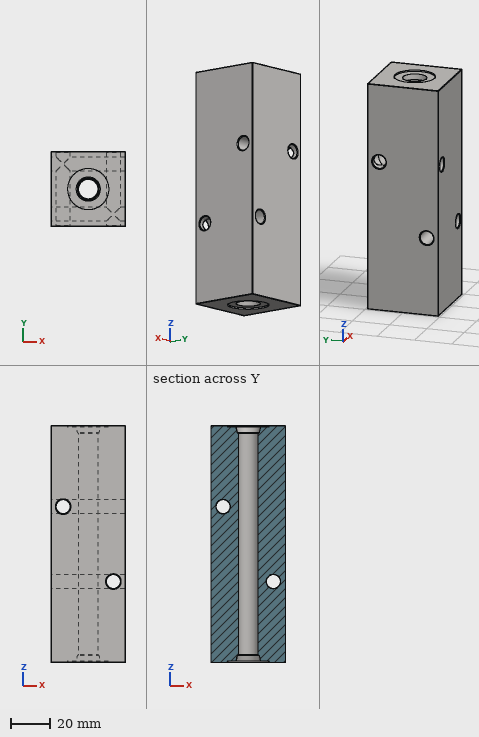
import cadquery as cq

HEIGHT = 120.6
WIDTH = 38.1
EDGE_CHAMFER = 0.25

SPOTFACE_DIAMETER = 21.0
SPOTFACE_DEPTH = 0.7
PORT_MOUTH_DIAMETER = 12.3
PORT_FLOOR_DIAMETER = 11.1
PORT_DEPTH = 2.8
BORE_DIAMETER = 9.9

HOLE_DIAMETER = 7.1
HOLE_RIM_DIAMETER = 8.0
HOLE_EDGE_DISTANCE = 6.3
HOLE_SPACING = 38.1

HALF_WIDTH = WIDTH / 2
HALF_HEIGHT = HEIGHT / 2
LEAD_IN_DEPTH = (PORT_FLOOR_DIAMETER - BORE_DIAMETER) / 2
HOLE_OFFSET = HALF_WIDTH - HOLE_EDGE_DISTANCE
HOLE_LEVEL = HOLE_SPACING / 2
RIM_DEPTH = (HOLE_RIM_DIAMETER - HOLE_DIAMETER) / 2


def stepped_bore():
    """Through bore with a spotface, tapered port and 45 degree lead-in at both ends."""
    port_top = HALF_HEIGHT - SPOTFACE_DEPTH
    port_floor = port_top - PORT_DEPTH
    bore_top = port_floor - LEAD_IN_DEPTH
    upper_half = [
        (SPOTFACE_DIAMETER / 2, HALF_HEIGHT),
        (SPOTFACE_DIAMETER / 2, port_top),
        (PORT_MOUTH_DIAMETER / 2, port_top),
        (PORT_FLOOR_DIAMETER / 2, port_floor),
        (BORE_DIAMETER / 2, bore_top),
    ]
    lower_half = [(radius, -z) for radius, z in reversed(upper_half)]
    outline = [(0, HALF_HEIGHT)] + upper_half + lower_half + [(0, -HALF_HEIGHT)]
    return cq.Workplane("XZ").polyline(outline).close().revolve(360, (0, 0), (0, 1))


def cross_hole():
    """Hole along Y through the block, with a 45 degree chamfer at each mouth."""
    outline = [
        (0, -HALF_WIDTH),
        (HOLE_RIM_DIAMETER / 2, -HALF_WIDTH),
        (HOLE_DIAMETER / 2, -HALF_WIDTH + RIM_DEPTH),
        (HOLE_DIAMETER / 2, HALF_WIDTH - RIM_DEPTH),
        (HOLE_RIM_DIAMETER / 2, HALF_WIDTH),
        (0, HALF_WIDTH),
    ]
    return cq.Workplane("XY").polyline(outline).close().revolve(360, (0, 0), (0, 1))


block = cq.Workplane("XY").box(WIDTH, WIDTH, HEIGHT).edges().chamfer(EDGE_CHAMFER)
result = block.cut(stepped_bore())

hole_along_y = cross_hole()
hole_along_x = hole_along_y.rotate((0, 0, 0), (0, 0, 1), 90)
for side in (-1, 1):
    level = -side * HOLE_LEVEL
    result = result.cut(hole_along_y.translate((side * HOLE_OFFSET, 0, level)))
    result = result.cut(hole_along_x.translate((0, -side * HOLE_OFFSET, level)))